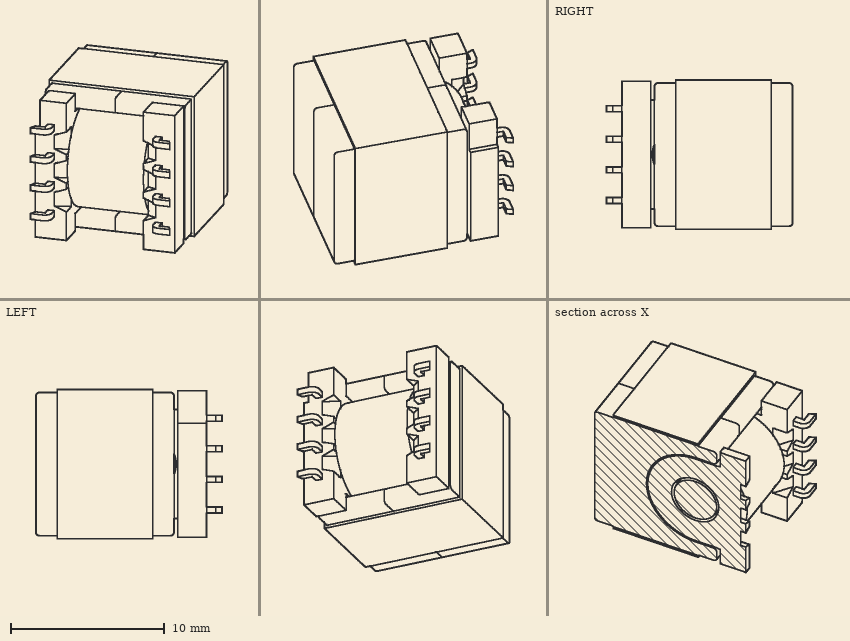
import cadquery as cq

TOTAL_DEPTH = 12.13

CORE_LENGTH = 9.55
CORE_DEPTH = 9.0
CORE_HEIGHT = 9.34
CORE_EDGE_RADIUS = 0.25
WINDOW_LENGTH = 6.91
WINDOW_RADIUS = 3.58
WINDOW_EDGE_RADIUS = 0.28
POST_RADIUS = 1.58
CORE_FRONT = -CORE_DEPTH / 2

TAPE_LENGTH = 9.92
TAPE_WIDTH = 6.23
TAPE_HEIGHT = 9.72

AXIS_Y = -2.92

WINDING_RADIUS = 3.52
WINDING_END_GAP = 0.06

BORE_RADIUS = 1.7
TUBE_RADIUS = 2.0
FLANGE_RADIUS = 3.55
FLANGE_INNER_X = 2.63
FLANGE_OUTER_X = 3.35
FLANGE_EDGE_RADIUS = 0.33
FLANGE_ROOT_RADIUS = 0.4
RAIL_LENGTH = 9.55
RAIL_OUTER_X = CORE_LENGTH / 2
RAIL_GAP = 0.23
RAIL_DEPTH = 1.89
RAIL_BACK = CORE_FRONT - RAIL_GAP
RAIL_FRONT = RAIL_BACK - RAIL_DEPTH
CORNER_STEP_DEPTH = 0.33
CORNER_STEP_Z = 2.65

PIN_PITCH = 1.99
PINS_PER_RAIL = 4
PIN_WIDTH = 0.4
LEG_THICKNESS = 0.45
FOOT_THICKNESS = 0.42
PIN_INNER_X = 3.46
PIN_FRONT = CORE_DEPTH / 2 - TOTAL_DEPTH
PIN_BEND_RADIUS = 0.5
FOOT_BEVEL = 0.2

NOTCH_DEPTH = 0.84
NOTCH_RUN = 1.04
NOTCH_MOUTH = 1.58
NOTCH_FLOOR = 0.95

PICK_MARGIN = 0.12


def row_positions(count):
    """Z places of a row at the pin pitch, centred on Z = 0."""
    return [(index - (count - 1) / 2) * PIN_PITCH for index in range(count)]


def cylinder_x(radius, start_x, end_x):
    """Cylinder on the coil axis."""
    return cq.Workplane("YZ", origin=(start_x, AXIS_Y, 0)).circle(radius).extrude(end_x - start_x)


def u_prism(radius, start_x, end_x, front_y):
    """U-shaped prism: rounded about the coil axis at the back, straight toward the front."""
    return (
        cq.Workplane("YZ", origin=(start_x, 0, 0))
        .moveTo(front_y, -radius)
        .lineTo(AXIS_Y, -radius)
        .threePointArc((AXIS_Y + radius, 0), (AXIS_Y, radius))
        .lineTo(front_y, radius)
        .close()
        .extrude(end_x - start_x)
    )


def make_tape():
    opening = cq.Workplane("XY").box(CORE_LENGTH, TAPE_WIDTH, CORE_HEIGHT)
    return cq.Workplane("XY").box(TAPE_LENGTH, TAPE_WIDTH, TAPE_HEIGHT).cut(opening)


def make_core_half(side):
    """Core half on the +X side (side = 1) or the -X side (side = -1)."""
    block = cq.Workplane("XY").box(CORE_LENGTH, CORE_DEPTH, CORE_HEIGHT)
    block = block.edges("|X").fillet(CORE_EDGE_RADIUS)
    window_end = WINDOW_LENGTH / 2
    block = block.cut(u_prism(WINDOW_RADIUS, -window_end, window_end, CORE_FRONT))
    window_lip = cq.selectors.BoxSelector(
        (-PICK_MARGIN, CORE_FRONT - PICK_MARGIN, -WINDOW_RADIUS - PICK_MARGIN),
        (PICK_MARGIN, CORE_FRONT + PICK_MARGIN, WINDOW_RADIUS + PICK_MARGIN),
    )
    block = block.edges("|X").edges(window_lip).fillet(WINDOW_EDGE_RADIUS)
    block = block.union(cylinder_x(POST_RADIUS, -window_end, window_end))
    half_space = cq.Workplane("XY").box(CORE_LENGTH, CORE_DEPTH, CORE_HEIGHT)
    return block.intersect(half_space.translate((side * CORE_LENGTH / 2, 0, 0)))


def make_winding():
    start_x = -FLANGE_INNER_X
    end_x = FLANGE_INNER_X - WINDING_END_GAP
    return cylinder_x(WINDING_RADIUS, start_x, end_x).cut(cylinder_x(TUBE_RADIUS, start_x, end_x))


def make_flange():
    """Flange on the +X side, with its outer rim and bore rounded and a concave root at the rail."""
    body = u_prism(FLANGE_RADIUS, FLANGE_INNER_X, FLANGE_OUTER_X, RAIL_FRONT)
    root = (
        cq.Workplane("XY", origin=(0, 0, -FLANGE_RADIUS))
        .moveTo(FLANGE_OUTER_X, RAIL_FRONT)
        .lineTo(RAIL_OUTER_X, RAIL_FRONT)
        .lineTo(RAIL_OUTER_X, RAIL_BACK)
        .lineTo(FLANGE_OUTER_X + FLANGE_ROOT_RADIUS, RAIL_BACK)
        .radiusArc((FLANGE_OUTER_X, RAIL_BACK + FLANGE_ROOT_RADIUS), FLANGE_ROOT_RADIUS)
        .close()
        .extrude(2 * FLANGE_RADIUS)
    )
    rim = cq.selectors.BoxSelector(
        (FLANGE_OUTER_X - PICK_MARGIN, RAIL_BACK, -FLANGE_RADIUS - PICK_MARGIN),
        (FLANGE_OUTER_X + PICK_MARGIN, FLANGE_RADIUS, FLANGE_RADIUS + PICK_MARGIN),
    )
    flange = body.union(root).edges("not |Z").edges(rim).fillet(FLANGE_EDGE_RADIUS)
    flange = flange.cut(cylinder_x(BORE_RADIUS, FLANGE_INNER_X, RAIL_OUTER_X))
    mouth_reach = BORE_RADIUS + PICK_MARGIN
    bore_mouth = cq.selectors.BoxSelector(
        (FLANGE_OUTER_X - PICK_MARGIN, AXIS_Y - mouth_reach, -mouth_reach),
        (RAIL_OUTER_X, AXIS_Y + mouth_reach, mouth_reach),
    )
    return flange.edges(bore_mouth).edges("not |Z").fillet(FLANGE_EDGE_RADIUS)


def make_rail():
    """Rail on the +X side, without its notches."""
    return cq.Workplane("XY").box(
        RAIL_OUTER_X - FLANGE_INNER_X, RAIL_DEPTH, RAIL_LENGTH
    ).translate(((RAIL_OUTER_X + FLANGE_INNER_X) / 2, (RAIL_BACK + RAIL_FRONT) / 2, 0))


def make_notch(center_z):
    """Notch in the +X rail: a trapezoid at the front, its floor sloping out to the inner side."""
    deep_x = FLANGE_INNER_X + NOTCH_DEPTH
    trapezoid = (
        cq.Workplane("XZ", origin=(0, RAIL_FRONT, center_z))
        .moveTo(FLANGE_INNER_X, -NOTCH_MOUTH / 2)
        .lineTo(deep_x, -NOTCH_FLOOR / 2)
        .lineTo(deep_x, NOTCH_FLOOR / 2)
        .lineTo(FLANGE_INNER_X, NOTCH_MOUTH / 2)
        .close()
        .extrude(-NOTCH_RUN)
    )
    wedge = (
        cq.Workplane("XY", origin=(0, 0, center_z - NOTCH_MOUTH / 2))
        .moveTo(FLANGE_INNER_X, RAIL_FRONT)
        .lineTo(deep_x, RAIL_FRONT)
        .lineTo(FLANGE_INNER_X, RAIL_FRONT + NOTCH_RUN)
        .close()
        .extrude(NOTCH_MOUTH)
    )
    return trapezoid.intersect(wedge)


def make_pin(center_z):
    """L-shaped pin on the +X rail, its foot turned outward."""
    outer_leg_x = PIN_INNER_X + LEG_THICKNESS
    foot_back = PIN_FRONT + FOOT_THICKNESS
    return (
        cq.Workplane("XY", origin=(0, 0, center_z - PIN_WIDTH / 2))
        .moveTo(PIN_INNER_X, RAIL_FRONT)
        .lineTo(PIN_INNER_X, PIN_FRONT + PIN_BEND_RADIUS)
        .radiusArc((PIN_INNER_X + PIN_BEND_RADIUS, PIN_FRONT), -PIN_BEND_RADIUS)
        .lineTo(RAIL_OUTER_X, PIN_FRONT)
        .lineTo(RAIL_OUTER_X - FOOT_BEVEL, foot_back)
        .lineTo(outer_leg_x, foot_back)
        .lineTo(outer_leg_x, RAIL_FRONT)
        .close()
        .extrude(PIN_WIDTH)
    )


def make_bobbin_end():
    """Everything of the bobbin on the +X side except the tube."""
    end = make_flange().union(make_rail())
    for center_z in row_positions(PINS_PER_RAIL - 1):
        end = end.cut(make_notch(center_z))
    for center_z in row_positions(PINS_PER_RAIL):
        end = end.union(make_pin(center_z))
    return end


def make_bobbin():
    end = make_bobbin_end()
    tube = cylinder_x(TUBE_RADIUS, -FLANGE_INNER_X, FLANGE_INNER_X)
    tube = tube.cut(cylinder_x(BORE_RADIUS, -FLANGE_INNER_X, FLANGE_INNER_X))
    bobbin = tube.union(end).union(end.mirror("YZ"))
    corner_step = cq.Workplane("XY").box(
        CORNER_STEP_DEPTH, RAIL_DEPTH, RAIL_LENGTH / 2 - CORNER_STEP_Z, centered=False
    ).translate((-RAIL_OUTER_X, RAIL_FRONT, CORNER_STEP_Z))
    return bobbin.cut(corner_step)


tape = make_tape()
core_halves = [make_core_half(side) for side in (-1, 1)]
bobbin = make_bobbin()
winding = make_winding()

result = cq.Compound.makeCompound(
    [tape.val(), *[half.val() for half in core_halves], bobbin.val(), winding.val()]
)